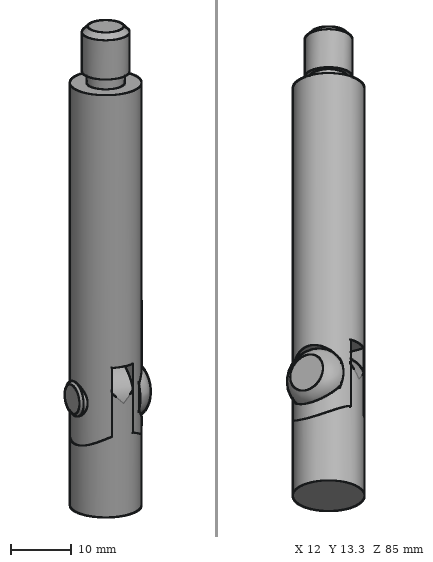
import cadquery as cq
import math

rod_diameter = 12.0
rod_radius = rod_diameter / 2
total_length = 85.0

stud_diameter = 8.0
stud_length = 10.0
stud_chamfer = 1.0
undercut_diameter = 6.4
undercut_length = 2.0
shoulder_height = total_length - stud_length

pivot_height = 20.0
fork_end_radius = 8.0
tongue_thickness = 4.0
slot_top = 26.5

screw_diameter = 6.0
screw_radius = screw_diameter / 2
screw_chamfer = 0.5
screw_tip_y = -6.5
head_diameter = 10.5
head_radius = head_diameter / 2
head_face_radius = 3.2
head_seat_y = 3.65
head_face_y = 6.8


def vertical_cylinder(diameter, bottom, top):
    return cq.Workplane("XY").workplane(offset=bottom).circle(diameter / 2).extrude(top - bottom)


def cross_cylinder(radius, y_start, y_end):
    """Cylinder along Y, centred on the pivot axis."""
    plane = cq.Plane(origin=(0, y_start, pivot_height), xDir=(1, 0, 0), normal=(0, 1, 0))
    return cq.Workplane(plane).circle(radius).extrude(y_end - y_start)


def slab(bottom, top):
    """Block filling the slot thickness and wider than the rod."""
    return (
        cq.Workplane("XY")
        .workplane(offset=bottom)
        .rect(2 * rod_diameter, tongue_thickness)
        .extrude(top - bottom)
    )


def fork_envelope():
    """Rod above the pivot plus the rounded fork end below it."""
    upper = vertical_cylinder(rod_diameter, pivot_height, shoulder_height)
    lower = vertical_cylinder(rod_diameter, 0, pivot_height)
    rounded_end = lower.intersect(cross_cylinder(fork_end_radius, -rod_diameter, rod_diameter))
    return upper.union(rounded_end)


def make_fork():
    """Upper rod with stud, slotted fork end and recess for the screw head."""
    undercut_top = shoulder_height + undercut_length
    undercut = vertical_cylinder(undercut_diameter, shoulder_height, undercut_top)
    stud = vertical_cylinder(stud_diameter, undercut_top, total_length)
    stud = stud.faces(">Z").chamfer(stud_chamfer)
    fork = fork_envelope().union(undercut).union(stud)
    fork = fork.cut(slab(0, slot_top))
    fork = fork.cut(cross_cylinder(screw_radius, -rod_diameter, rod_diameter))
    return fork.cut(cross_cylinder(head_radius, head_seat_y, rod_diameter))


def make_tongue():
    """Lower rod whose central tongue, rounded about the pivot, fills the slot."""
    half_thickness = tongue_thickness / 2
    cheek_clearance = cross_cylinder(fork_end_radius, -rod_diameter, rod_diameter).cut(slab(0, total_length))
    rounded_top = cross_cylinder(rod_radius, -half_thickness, half_thickness)
    rounded_top = rounded_top.intersect(vertical_cylinder(rod_diameter, pivot_height, slot_top))
    tongue = vertical_cylinder(rod_diameter, 0, pivot_height).cut(cheek_clearance).union(rounded_top)
    return tongue.cut(cross_cylinder(screw_radius, -rod_diameter, rod_diameter))


def make_screw():
    """Turned screw: chamfered shank and domed head with a flat face."""
    dome_run = head_radius - head_face_radius
    dome_rise = head_face_y - head_seat_y
    dome_angle = 2 * math.atan2(dome_run, dome_rise)
    dome_radius = dome_rise / math.sin(dome_angle)
    dome_middle = (
        head_radius - dome_radius * (1 - math.cos(dome_angle / 2)),
        head_seat_y + dome_radius * math.sin(dome_angle / 2),
    )
    profile = (
        cq.Workplane("XY")
        .moveTo(0, screw_tip_y)
        .lineTo(screw_radius - screw_chamfer, screw_tip_y)
        .lineTo(screw_radius, screw_tip_y + screw_chamfer)
        .lineTo(screw_radius, head_seat_y)
        .lineTo(head_radius, head_seat_y)
        .threePointArc(dome_middle, (head_face_radius, head_face_y))
        .lineTo(0, head_face_y)
        .close()
    )
    screw = profile.revolve(360, (0, 0, 0), (0, 1, 0))
    return screw.translate((0, 0, pivot_height))


fork = make_fork()
tongue = make_tongue()
screw = make_screw()

result = cq.Compound.makeCompound([fork.val(), tongue.val(), screw.val()])